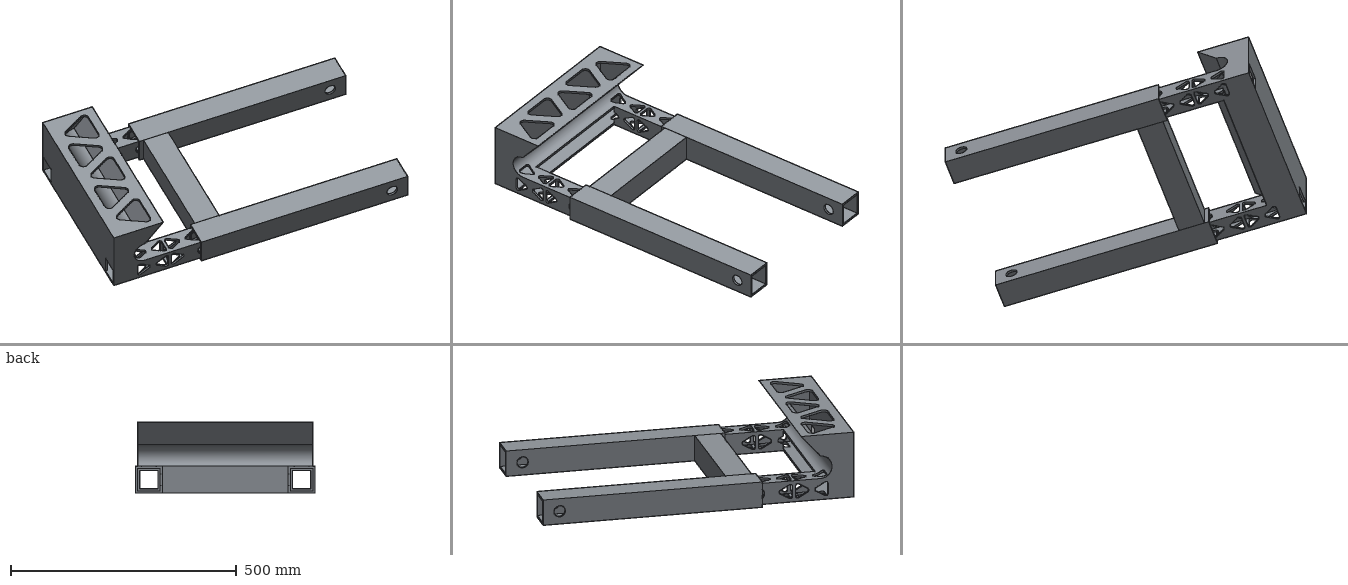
import cadquery as cq
import math


overall_width = 398.0
overall_length = 710
overall_height = 157.0
wall = 5.0

rail_size = 59.5
rail_length = 500.0
crossbar_setback = 10.0

pin_diameter = 25.5
rail_pin_inset = 37.5
arm_pin_inset = 37.5
arm_pin_y = 216.5

head_depth = 120.0
seat_radius = 26.0
seat_y = 76.0

top_window_side = 90.0
top_window_corner = 10.0
top_window_pitch = 70.0
top_window_count = 5
forward_window_base_y = 99.5
backward_window_base_y = 21.0

arm_window_side = 40.5
arm_window_corner = 5.0
arm_web = 7.0
arm_web_y = 136.0
arm_window_period = 82.0

sides = (-1, 1)
rail_front = overall_length - rail_length
rail_x = (overall_width - rail_size) / 2
rail_z = rail_size / 2
arm_size = rail_size - 2 * wall
arm_bore = arm_size - 2 * wall
arm_rear = arm_pin_y + arm_pin_inset
head_width = overall_width - 2 * wall
head_height = overall_height - wall
head_z = wall + head_height / 2
seat_z = wall + arm_size + seat_radius


def block(x, z, y_front, y_rear, width, height):
    """Box along Y, centred on x and z."""
    length = y_rear - y_front
    return cq.Workplane("XY").box(width, length, height).translate((x, y_front + length / 2, z))


def square_bar(x, y_front, y_rear, side):
    """Square bar along Y at the height of the rails."""
    return block(x, rail_z, y_front, y_rear, side, side)


def pin_hole(x, y):
    """Cutter along X through both walls of one rail or arm."""
    hole = cq.Workplane("YZ").center(y, rail_z).circle(pin_diameter / 2)
    return hole.extrude(rail_size, both=True).translate((x, 0, 0))


def triangle_cutter(side, corner, base_y, direction, depth):
    """Rounded triangular cutter along Z, centred on Z = 0; its apex points along Y by direction."""
    apex_y = base_y + direction * side * math.sqrt(3) / 2
    return (
        cq.Workplane("XY")
        .polyline([(-side / 2, base_y), (side / 2, base_y), (0, apex_y)])
        .close()
        .extrude(depth / 2, both=True)
        .edges("|Z")
        .fillet(corner)
    )


def make_rail(x):
    bore = square_bar(x, rail_front, overall_length, arm_size)
    rail = square_bar(x, rail_front, overall_length, rail_size).cut(bore)
    return rail.cut(pin_hole(x, overall_length - rail_pin_inset))


def make_crossbar():
    front = rail_front + crossbar_setback
    length = overall_width - 2 * rail_size
    return block(0, rail_z, front, front + rail_size, length, rail_size)


def hook_cutter(clearance):
    """Space behind the head: half-round seat, slope above it and open underside.

    The seat and the slope are moved into the head by clearance.
    """
    slope_run = head_depth - seat_y
    slope_rise = overall_height - seat_z - seat_radius
    shift = clearance * math.hypot(slope_run, slope_rise) / slope_rise
    slope_top_y = head_depth - shift
    slope_foot_y = slope_top_y - (overall_height - seat_z) * slope_run / slope_rise
    seat = cq.Workplane("YZ").center(seat_y, seat_z).circle(seat_radius + clearance)
    slope_and_underside = (
        cq.Workplane("YZ")
        .moveTo(slope_foot_y, seat_z)
        .lineTo(slope_top_y, overall_height)
        .lineTo(head_depth + wall, overall_height)
        .lineTo(head_depth + wall, 0)
        .lineTo(seat_y, 0)
        .lineTo(seat_y, seat_z)
        .close()
    )
    return seat.extrude(head_width, both=True).union(slope_and_underside.extrude(head_width, both=True))


def arm_windows(x):
    """Cutters for the triangles through one arm; each strip has one on either side or on one side."""
    strips = (
        (arm_web_y + arm_window_period, (-1,)),
        (arm_web_y, (1, -1)),
        (arm_web_y - arm_window_period, (1,)),
    )
    windows = []
    for web_y, directions in strips:
        for direction in directions:
            base_y = web_y + direction * arm_web / 2
            upright = triangle_cutter(arm_window_side, arm_window_corner, base_y, direction, rail_size)
            windows.append(upright)
            if base_y < rail_front:
                windows.append(upright.rotate((0, 0, 0), (0, 1, 0), 90))
    return [window.translate((x, 0, rail_z)) for window in windows]


def top_windows():
    """Cutters for the row of triangles through the top plate of the head."""
    window_cut_depth = 4 * wall
    windows = []
    for i in range(top_window_count):
        forward = i % 2 == 0
        base_y = forward_window_base_y if forward else backward_window_base_y
        direction = -1 if forward else 1
        window = triangle_cutter(top_window_side, top_window_corner, base_y, direction, window_cut_depth)
        x = (i - (top_window_count - 1) / 2) * top_window_pitch
        windows.append(window.translate((x, 0, overall_height)))
    return windows


def make_head():
    head = block(0, head_z, 0, head_depth, head_width, head_height).cut(hook_cutter(0))
    cavity = block(0, head_z, wall, head_depth, head_width - 2 * wall, head_height - 2 * wall)
    cavity = cavity.cut(hook_cutter(wall))
    for side in sides:
        head = head.union(square_bar(side * rail_x, 0, arm_rear, arm_size))
    head = head.cut(cavity)
    for side in sides:
        x = side * rail_x
        head = head.cut(square_bar(x, 0, arm_rear, arm_bore))
        head = head.cut(pin_hole(x, arm_pin_y))
        for window in arm_windows(x):
            head = head.cut(window)
    for window in top_windows():
        head = head.cut(window)
    return head


rails = [make_rail(side * rail_x) for side in sides]
crossbar = make_crossbar()
head = make_head()

result = cq.Compound.makeCompound([*[rail.val() for rail in rails], crossbar.val(), head.val()])